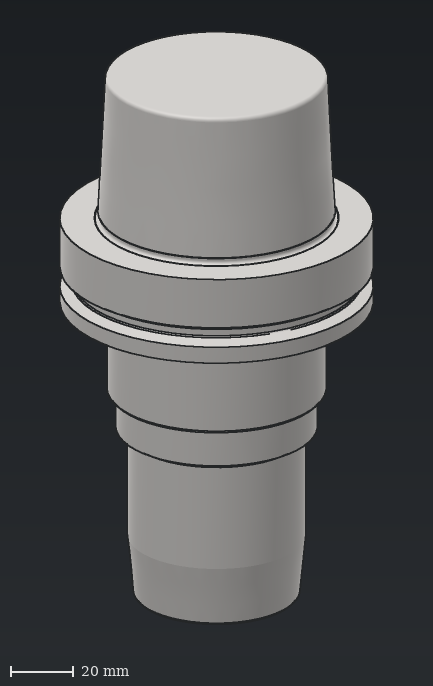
import cadquery as cq
import math


shank_height = 49.9
gauge_radius = 37.67
gauge_height = 6.3
taper_ratio = 1 / 10
shank_tip_fillet = 1.7
taper_start_height = 2.3

relief_depth = 0.4
relief_arc_radius = 1.3
face_recess_depth = 0.2

flange_radius = 50.0
flange_thickness = 29.0
groove_root_radius = 46.0
groove_center_depth = 20.1
groove_root_width = 3.0
groove_flank_angle = 25.0
groove_root_fillet = 0.6

body_radius = 35.0
body_end_depth = 60.0
body_chamfer = 1.0
collar_radius = 32.2
collar_end_depth = 74.4
collar_chamfer_angle = 30.0
nose_radius = 28.5

nose_end_depth = 130.0
cone_start_depth = 109.6
cone_end_radius = 26.6
tip_chamfer = 0.8


def taper_radius(height):
    return gauge_radius - (height - gauge_height) * taper_ratio / 2


def add_shank(outline):
    """Shank from the axis at the top, down to the bevelled rim in the contact face."""
    taper_start_radius = taper_radius(taper_start_height)
    neck_radius = taper_start_radius - relief_depth
    arc_center_radius = neck_radius + relief_arc_radius
    arc_center_height = relief_arc_radius - face_recess_depth
    arc_reach = relief_arc_radius * math.sqrt(0.5)
    return (
        outline.lineTo(taper_radius(shank_height), shank_height)
        .lineTo(taper_start_radius, taper_start_height)
        .lineTo(neck_radius, taper_start_height - relief_depth)
        .lineTo(neck_radius, arc_center_height)
        .threePointArc(
            (arc_center_radius - arc_reach, arc_center_height - arc_reach),
            (arc_center_radius, -face_recess_depth),
        )
        .lineTo(arc_center_radius + face_recess_depth, 0)
    )


def add_flange(outline):
    """Outer flange wall down to the underside."""
    return (
        outline.lineTo(flange_radius, 0)
        .lineTo(flange_radius, -flange_thickness)
        .lineTo(body_radius, -flange_thickness)
    )


def add_body(outline):
    """Body and collar, each chamfered at its lower edge, down to the nose."""
    collar_chamfer_height = (collar_radius - nose_radius) * math.tan(math.radians(collar_chamfer_angle))
    return (
        outline.lineTo(body_radius, -body_end_depth + body_chamfer)
        .lineTo(body_radius - body_chamfer, -body_end_depth)
        .lineTo(collar_radius, -body_end_depth)
        .lineTo(collar_radius, -collar_end_depth + collar_chamfer_height)
        .lineTo(nose_radius, -collar_end_depth)
    )


def add_nose(outline):
    """Cylindrical nose with a conical, chamfered end closing on the axis."""
    return (
        outline.lineTo(nose_radius, -cone_start_depth)
        .lineTo(cone_end_radius, -nose_end_depth + tip_chamfer)
        .lineTo(cone_end_radius - tip_chamfer, -nose_end_depth)
        .lineTo(0, -nose_end_depth)
    )


def make_groove():
    """Ring of trapezoidal section with rounded root corners, to be cut from the flange."""
    flank_height = (flange_radius - groove_root_radius) * math.tan(math.radians(groove_flank_angle))
    root_half = groove_root_width / 2
    mouth_half = root_half + flank_height
    ring = (
        cq.Workplane("XZ")
        .moveTo(flange_radius, -groove_center_depth + mouth_half)
        .lineTo(groove_root_radius, -groove_center_depth + root_half)
        .lineTo(groove_root_radius, -groove_center_depth - root_half)
        .lineTo(flange_radius, -groove_center_depth - mouth_half)
        .close()
        .revolve(360, (0, 0), (0, 1))
    )
    root_edges = cq.selectors.RadiusNthSelector(0)
    return ring.edges(root_edges).fillet(groove_root_fillet)


outline = cq.Workplane("XZ").moveTo(0, shank_height)
outline = add_nose(add_body(add_flange(add_shank(outline))))
holder = outline.close().revolve(360, (0, 0), (0, 1))
holder = holder.faces(">Z").edges().fillet(shank_tip_fillet)
result = holder.cut(make_groove())